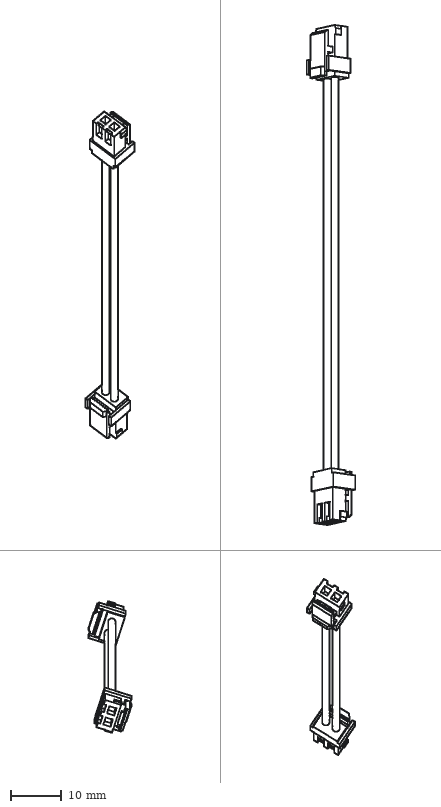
import cadquery as cq

CABLE_LENGTH = 100.0
MATING_Z = CABLE_LENGTH / 2
CABLE_DEPTH = 7.9

SHELL_WIDTH = 5.8
SHELL_BACK_Y = 1.4
SHELL_FRONT_Y = -1.9

COLLAR_WIDTH = 7.0
COLLAR_FRONT_Y = -2.2
COLLAR_TOP_DEPTH = 6.5
COLLAR_BOTTOM_DEPTH = 9.4
EAR_BACK_Y = 3.4
WEB_BACK_Y = 2.3
WEB_BOTTOM_DEPTH = 8.4

HOUSING_LENGTH = 10.3

BUMP_HEIGHT = 0.3
BUMP_FRONT_Y = -0.1
BUMP_LENGTH = 1.9
BUMP_CHAMFER_LENGTH = 0.7

LATCH_WIDTH = 4.6
LATCH_INNER_Y = 2.6
LATCH_END_INNER_Y = 2.9
LATCH_OUTER_Y = EAR_BACK_Y
TIP_DEPTH = 1.1
TIP_THICKNESS = 0.3
TIP_SLOPE_BOTTOM_DEPTH = 1.6
STEM_TOP_DEPTH = 4.3
STEM_BOTTOM_DEPTH = 5.5

BARB_WIDTH = 2.7
BARB_INNER_Y = 2.0
BARB_BOTTOM_DEPTH = 2.3

TAB_BASE_WIDTH = 4.4
TAB_OUTER_WIDTH = 3.4
TAB_OUTER_Y = CABLE_DEPTH / 2
TAB_TOP_DEPTH = 8.5

WIRE_PITCH = 2.4
WIRE_DIAMETER = 1.5
CAVITY_SIZE = 1.5
CAVITY_DEPTH = 3.7
BRIDGE_HEIGHT = 1.0
BRIDGE_FRONT_Y = -1.4
SLOT_BACK_Y = -1.0

WIRE_XS = [-WIRE_PITCH / 2, WIRE_PITCH / 2]


def block(center_x, width, front_y, back_y, top_depth, bottom_depth):
    """Box given by its X centre and width, its Y range and its depths below the mating face."""
    return (
        cq.Workplane("XY", origin=(0, 0, MATING_Z - bottom_depth))
        .center(center_x, (front_y + back_y) / 2)
        .rect(width, back_y - front_y)
        .extrude(bottom_depth - top_depth)
    )


def make_shell():
    return block(0, SHELL_WIDTH, SHELL_FRONT_Y, SHELL_BACK_Y, 0, COLLAR_TOP_DEPTH)


def make_bumps():
    """Bumps on both sides of the shell, made as one block across it and sloped toward the mating face."""
    base_x = SHELL_WIDTH / 2
    peak_x = base_x + BUMP_HEIGHT
    return (
        cq.Workplane("XZ", origin=(0, SHELL_BACK_Y, MATING_Z))
        .polyline([
            (-base_x, 0),
            (base_x, 0),
            (peak_x, -BUMP_CHAMFER_LENGTH),
            (peak_x, -BUMP_LENGTH),
            (-peak_x, -BUMP_LENGTH),
            (-peak_x, -BUMP_CHAMFER_LENGTH),
        ])
        .close()
        .extrude(SHELL_BACK_Y - BUMP_FRONT_Y)
    )


def make_collar():
    """Collar with an ear on each side of the latch, a web between the ears, and the neck below."""
    collar = block(0, COLLAR_WIDTH, COLLAR_FRONT_Y, EAR_BACK_Y, COLLAR_TOP_DEPTH, COLLAR_BOTTOM_DEPTH)
    channel = block(0, SHELL_WIDTH, SHELL_BACK_Y, EAR_BACK_Y, COLLAR_TOP_DEPTH, COLLAR_BOTTOM_DEPTH)
    web = block(0, SHELL_WIDTH, SHELL_BACK_Y, WEB_BACK_Y, COLLAR_TOP_DEPTH, WEB_BOTTOM_DEPTH)
    neck = block(0, SHELL_WIDTH, COLLAR_FRONT_Y, SHELL_BACK_Y, COLLAR_BOTTOM_DEPTH, HOUSING_LENGTH)
    return collar.cut(channel).union(web).union(neck)


def side_profile(points, width):
    """Solid of the given width, centred on X = 0, from (Y, depth) corner points."""
    return (
        cq.Workplane("YZ", origin=(-width / 2, 0, MATING_Z))
        .polyline([(y, -depth) for y, depth in points])
        .close()
        .extrude(width)
    )


def make_lever():
    """Lever with a sloped tip, thinner at its lower end, and the stem that joins it to the shell."""
    lever = side_profile(
        [
            (LATCH_INNER_Y, TIP_DEPTH),
            (LATCH_INNER_Y + TIP_THICKNESS, TIP_DEPTH),
            (LATCH_OUTER_Y, TIP_SLOPE_BOTTOM_DEPTH),
            (LATCH_OUTER_Y, HOUSING_LENGTH),
            (LATCH_END_INNER_Y, HOUSING_LENGTH),
            (LATCH_END_INNER_Y, COLLAR_BOTTOM_DEPTH),
            (LATCH_INNER_Y, COLLAR_BOTTOM_DEPTH),
        ],
        LATCH_WIDTH,
    )
    stem = block(0, LATCH_WIDTH, SHELL_BACK_Y, LATCH_INNER_Y, STEM_TOP_DEPTH, STEM_BOTTOM_DEPTH)
    return lever.union(stem)


def make_barb():
    return side_profile(
        [
            (LATCH_INNER_Y, TIP_DEPTH),
            (BARB_INNER_Y, TIP_SLOPE_BOTTOM_DEPTH),
            (BARB_INNER_Y, BARB_BOTTOM_DEPTH),
            (LATCH_INNER_Y, BARB_BOTTOM_DEPTH),
        ],
        BARB_WIDTH,
    )


def make_tab():
    """Thumb tab that narrows outward."""
    return (
        cq.Workplane("XY", origin=(0, 0, MATING_Z - HOUSING_LENGTH))
        .polyline([
            (-TAB_BASE_WIDTH / 2, LATCH_OUTER_Y),
            (TAB_BASE_WIDTH / 2, LATCH_OUTER_Y),
            (TAB_OUTER_WIDTH / 2, TAB_OUTER_Y),
            (-TAB_OUTER_WIDTH / 2, TAB_OUTER_Y),
        ])
        .close()
        .extrude(HOUSING_LENGTH - TAB_TOP_DEPTH)
    )


def make_latch():
    return make_lever().union(make_barb()).union(make_tab())


def make_cavity(center_x):
    """Square contact cavity, and a front slot that is shallower above, leaving a bridge at the top."""
    half = CAVITY_SIZE / 2
    cavity = block(center_x, CAVITY_SIZE, -half, half, 0, CAVITY_DEPTH)
    bridge_recess = block(center_x, CAVITY_SIZE, SHELL_FRONT_Y, BRIDGE_FRONT_Y, 0, BRIDGE_HEIGHT)
    slot = block(center_x, CAVITY_SIZE, SHELL_FRONT_Y, SLOT_BACK_Y, BRIDGE_HEIGHT, CAVITY_DEPTH)
    return cavity.union(bridge_recess).union(slot)


def make_housing():
    housing = make_shell().union(make_bumps()).union(make_collar()).union(make_latch())
    for x in WIRE_XS:
        housing = housing.cut(make_cavity(x))
    return housing


def make_wire(center_x):
    """Straight wire between the necks of the two housings."""
    half_length = MATING_Z - HOUSING_LENGTH
    return (
        cq.Workplane("XY", origin=(center_x, 0, -half_length))
        .circle(WIRE_DIAMETER / 2)
        .extrude(2 * half_length)
    )


housings = [make_housing().rotate((0, 0, 0), (1, 0, 0), angle) for angle in (0, 180)]
wires = [make_wire(x) for x in WIRE_XS]

result = cq.Compound.makeCompound([body.val() for body in housings + wires])